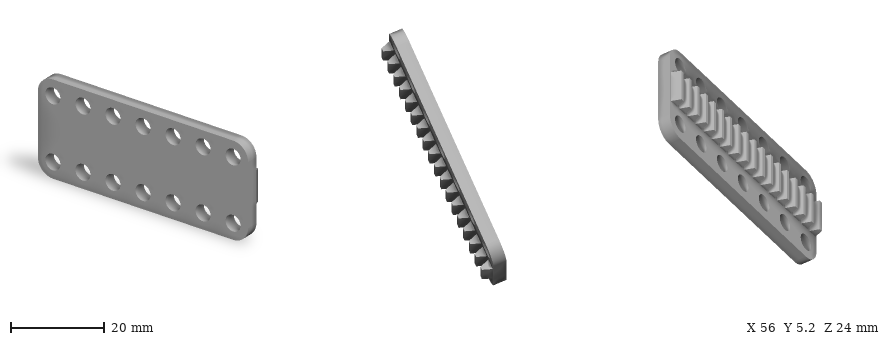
import cadquery as cq

plate_length = 56.0
plate_thickness = 3.0
hole_columns = 7
grid_cells_high = 3
grid_pitch = plate_length / hole_columns
plate_height = grid_cells_high * grid_pitch
corner_radius = grid_pitch / 2

hole_diameter = grid_pitch / 2
hole_row_spacing = plate_height - 2 * corner_radius

tooth_count = 18
tooth_pitch = plate_length / tooth_count
tooth_height = 2.2
tooth_root_width = 2.3
tooth_tip_width = 0.8
rack_width = grid_pitch


def make_plate():
    """Rounded plate with its front face at Y = 0 and its back face toward +Y."""
    blank = (
        cq.Workplane("XZ")
        .rect(plate_length, plate_height)
        .extrude(-plate_thickness)
        .edges("|Y")
        .fillet(corner_radius)
    )
    holes = (
        cq.Workplane("XZ")
        .rarray(grid_pitch, hole_row_spacing, hole_columns, 2)
        .circle(hole_diameter / 2)
        .extrude(-plate_thickness)
    )
    return blank.cut(holes)


def make_tooth(center_x):
    """Trapezoidal rack tooth, rooted on the back face and running along Z."""
    tip_y = plate_thickness + tooth_height
    return (
        cq.Workplane("XY")
        .moveTo(center_x - tooth_root_width / 2, plate_thickness)
        .lineTo(center_x - tooth_tip_width / 2, tip_y)
        .lineTo(center_x + tooth_tip_width / 2, tip_y)
        .lineTo(center_x + tooth_root_width / 2, plate_thickness)
        .close()
        .extrude(rack_width / 2, both=True)
    )


result = make_plate()
for tooth_index in range(tooth_count):
    tooth_x = (tooth_index + 0.5) * tooth_pitch - plate_length / 2
    result = result.union(make_tooth(tooth_x))